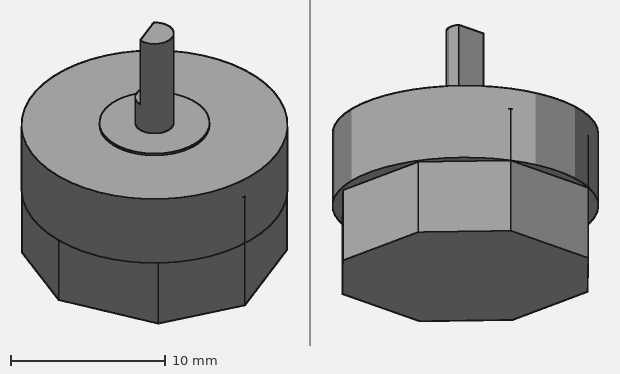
import cadquery as cq

total_height = 17.05
base_half_x = 7.85
base_half_y = 7.65
face_half_width = 3.5
base_height = 8.49

cap_diameter = 17.25
cap_height = 5.0
boss_diameter = 7.15
boss_height = 0.15

shaft_diameter = 2.5
shaft_length = 7.0
flat_length = 5.0
flat_offset = 0.53

shaft_bottom = total_height - shaft_length
cap_top = shaft_bottom - boss_height
cap_bottom = cap_top - cap_height


def make_base():
    """Octagonal prism with slightly unequal widths in X and Y."""
    outline = [
        (base_half_x, -face_half_width),
        (base_half_x, face_half_width),
        (face_half_width, base_half_y),
        (-face_half_width, base_half_y),
        (-base_half_x, face_half_width),
        (-base_half_x, -face_half_width),
        (-face_half_width, -base_half_y),
        (face_half_width, -base_half_y),
    ]
    return cq.Workplane("XY").polyline(outline).close().extrude(base_height)


def make_shaft():
    """Round shaft with a flat facing -X along its upper end."""
    shaft = (
        cq.Workplane("XY")
        .workplane(offset=shaft_bottom)
        .circle(shaft_diameter / 2)
        .extrude(shaft_length)
    )
    flat_cutter = (
        cq.Workplane("XY")
        .workplane(offset=total_height - flat_length)
        .center(-flat_offset - shaft_diameter / 2, 0)
        .rect(shaft_diameter, 2 * shaft_diameter)
        .extrude(flat_length)
    )
    return shaft.cut(flat_cutter)


def make_cap(base_body):
    """Cap with boss and shaft, recessed underneath to receive the base."""
    disc = (
        cq.Workplane("XY")
        .workplane(offset=cap_bottom)
        .circle(cap_diameter / 2)
        .extrude(cap_height)
    )
    boss = (
        cq.Workplane("XY")
        .workplane(offset=cap_top)
        .circle(boss_diameter / 2)
        .extrude(boss_height)
    )
    return disc.union(boss).union(make_shaft()).cut(base_body)


base = make_base()
cap = make_cap(base)

result = cq.Compound.makeCompound([base.val(), cap.solids().val()])